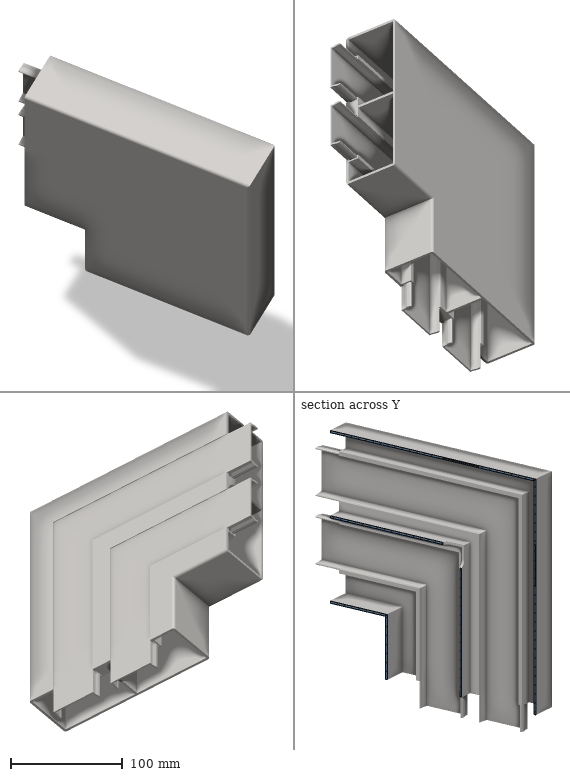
import cadquery as cq


leg_length = 225.0
arm_width = 165.0
depth = 53.0
wall = 2.5
edge_radius = 2.5
arm_inner = leg_length - arm_width
arm_middle = arm_inner + arm_width / 2

cover_pitch = 65.2
cover_centres = [arm_middle - cover_pitch / 2, arm_middle + cover_pitch / 2]
rail_depth = 13.0
rail_half_width = 25.5
recess_half_width = 24.0
recess_start = 3.2
recess_end = 11.5
lip_half_width = 21.6

cover_half_width = 22.5
cover_sheet = 1.6
cover_inset = 0.7
cover_overhang = 26.5
flare_start = 4.1
inner_flare_end = 8.9
inner_flare = 0.9
barb_half_width = 23.5
barb_start = 7.4
barb_end = 9.9
tip_depth = 11.4
tip_half_width = 22.8

passage_length = 40.3
passage_width = 15.0
passage_centre_y = 23.0
plate_thickness = 1.25
plate_base = leg_length - wall


def bar(z_low, z_high, depth_low, depth_high):
    """Full-length bar along X; its depths are measured inward from the +Y face."""
    return cq.Workplane("XY").box(
        leg_length, depth_high - depth_low, z_high - z_low, centered=False
    ).translate((0, depth - depth_high, z_low))


def mitred(body):
    """Keep the part of a horizontal run that lies above the mitre plane X = Z."""
    below_mitre = (
        cq.Workplane("XZ")
        .polyline([(0, 0), (leg_length, leg_length), (leg_length, 0)])
        .close()
        .extrude(-depth)
    )
    return body.cut(below_mitre)


def vertical_copy(body):
    """Mirror a body across the mitre plane by swapping its X and Z."""
    return body.mirror("YZ").rotate((0, 0, 0), (0, 1, 0), 90)


def obround(base, height):
    """Round-ended solid standing along Z, long side along X and centred on the dividers."""
    return (
        cq.Workplane("XY", origin=(arm_middle, passage_centre_y, base))
        .slot2D(passage_length, passage_width)
        .extrude(height)
    )


def plate():
    """Round-ended plate in the outer wall of the horizontal arm."""
    return obround(plate_base, plate_thickness)


def duct():
    """Horizontal duct half with its divider and cover rails."""
    body = bar(arm_inner, leg_length, 0, depth).edges("|X").fillet(edge_radius)

    body = body.cut(bar(arm_inner + wall, arm_middle - wall / 2, wall, depth - wall))
    body = body.cut(bar(arm_middle + wall / 2, leg_length - wall, wall, depth - wall))

    body = body.union(
        bar(cover_centres[0] - rail_half_width, cover_centres[1] + rail_half_width, wall, rail_depth)
    )

    opening_steps = [
        (cover_half_width, 0, recess_start),
        (recess_half_width, recess_start, recess_end),
        (lip_half_width, recess_end, rail_depth),
    ]
    for centre in cover_centres:
        for half_width, step_start, step_end in opening_steps:
            body = body.cut(bar(centre - half_width, centre + half_width, step_start, step_end))

    body = body.cut(obround(arm_middle - wall / 2, wall))
    body = body.cut(plate())
    return mitred(body)


def cover(centre):
    """Channel-shaped horizontal cover whose flanges flare into barbs."""
    inner_half_width = cover_half_width - cover_sheet
    upper_half = [
        (cover_inset, cover_half_width),
        (flare_start, cover_half_width),
        (barb_start, barb_half_width),
        (barb_end, barb_half_width),
        (tip_depth, tip_half_width),
        (tip_depth, inner_half_width + inner_flare),
        (inner_flare_end, inner_half_width + inner_flare),
        (flare_start, inner_half_width),
        (cover_inset + cover_sheet, inner_half_width),
    ]
    lower_half = [(inward, -across) for inward, across in reversed(upper_half)]
    profile = [(depth - inward, centre + across) for inward, across in upper_half + lower_half]
    body = (
        cq.Workplane("YZ", origin=(-cover_overhang, 0, 0))
        .polyline(profile)
        .close()
        .extrude(cover_overhang + leg_length)
    )
    return mitred(body)


horizontal_bodies = [duct(), plate()] + [cover(centre) for centre in cover_centres]
vertical_bodies = [vertical_copy(body) for body in horizontal_bodies]

solids = [body.solids().val() for body in horizontal_bodies + vertical_bodies]

result = cq.Compound.makeCompound(solids)